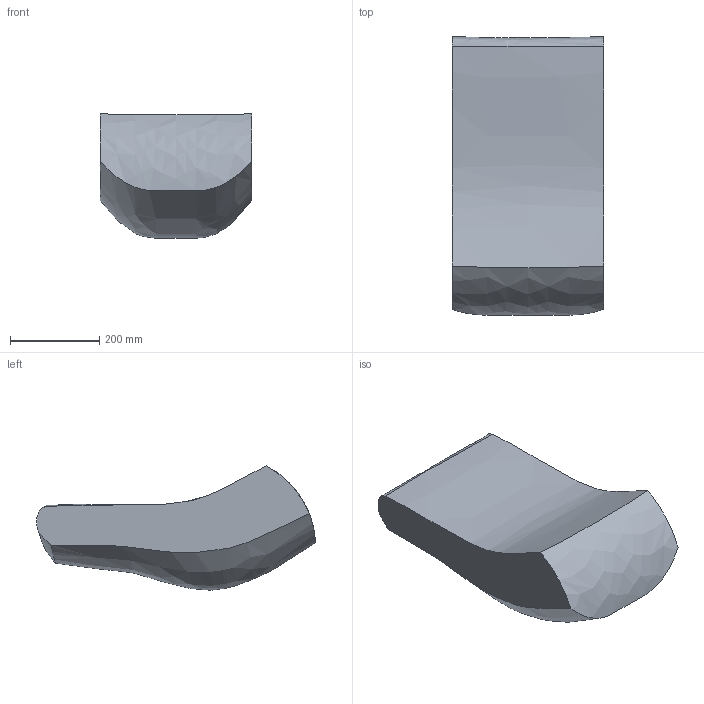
import math
import cadquery as cq


WIDTH = 340.0
FLAT_HALF_WIDTH = 50.0
SECTION_COUNT = 15

FRONT_TIP = (0.0, 106.5)
FRONT_SIDE_CORNER = (14.1, 171.8)
FRONT_TOP_CORNER = (110.5, 278.71)
FRONT_TOP_DIP = 1.8

BACK_TOP_MIDDLE = (603.0, 190.0)
BACK_TOP_SIDE = (603.0, 187.3)
BACK_LOW_MIDDLE = (583.3, 60.6)
BACK_LOW_SIDE = (592.4, 101.0)

TOP_MIDDLE = [(195, 232.6), (248, 209.7), (291, 198.5), (337, 193), (450, 191), BACK_TOP_MIDDLE]
TOP_SIDE = [(195, 234), (248, 209.7), (291, 198), (337, 192.8), (450, 190.5), BACK_TOP_SIDE]

BACK_MIDDLE = [BACK_TOP_MIDDLE, (616, 180), (623, 155.6), (618, 123), (609.5, 99), BACK_LOW_MIDDLE]
BACK_SIDE = [BACK_TOP_SIDE, (617.6, 178.9), (625.3, 155.6), (617.6, 125.3), (609, 116), BACK_LOW_SIDE]

BOTTOM_MIDDLE = [BACK_LOW_MIDDLE, (486, 47.5), (405.4, 37.8), (344.8, 19.6), (284, 4.6),
                 (239.7, 0), (203, 4), (102.3, 41.8)]
BOTTOM_SIDE = [BACK_LOW_SIDE, (486, 100), (425.6, 98), (365, 90), (292, 83.5),
               (243.7, 86.5), (193, 94.2), (112, 124.5)]


def circle_through(p, q, r):
    """Centre and radius of the circle through three (Y, Z) points."""
    a1, b1 = q[0] - p[0], q[1] - p[1]
    a2, b2 = r[0] - p[0], r[1] - p[1]
    c1 = (a1 * a1 + b1 * b1) / 2
    c2 = (a2 * a2 + b2 * b2) / 2
    det = a1 * b2 - a2 * b1
    dy = (c1 * b2 - c2 * b1) / det
    dz = (a1 * c2 - a2 * c1) / det
    return (p[0] + dy, p[1] + dz), math.hypot(dy, dz)


FRONT_CENTRE, FRONT_RADIUS = circle_through(FRONT_TIP, FRONT_SIDE_CORNER, FRONT_TOP_CORNER)


def front_point(z):
    """Point of the front arc at height z."""
    rise = z - FRONT_CENTRE[1]
    return (FRONT_CENTRE[0] - math.sqrt(FRONT_RADIUS ** 2 - rise ** 2), z)


def mix(a, b, share):
    """Value the given share of the way from a to b."""
    return a + (b - a) * share


def mix_points(middle, side, share):
    """Points of one curve blended between its middle and side shapes."""
    return [(mix(m[0], s[0], share), mix(m[1], s[1], share)) for m, s in zip(middle, side)]


def outline(x, share):
    """Closed outline at x; share is 0 for the middle shape and 1 for the side shape."""
    z_top = FRONT_TOP_CORNER[1] - FRONT_TOP_DIP * (1 - share)
    z_low = mix(FRONT_TIP[1], FRONT_SIDE_CORNER[1], share)
    front_top = front_point(z_top)
    front_mid = front_point((z_top + z_low) / 2)
    front_low = front_point(z_low)
    top = [front_top] + mix_points(TOP_MIDDLE, TOP_SIDE, share)
    back = mix_points(BACK_MIDDLE, BACK_SIDE, share)
    bottom = mix_points(BOTTOM_MIDDLE, BOTTOM_SIDE, share) + [front_low]

    def place(points):
        return [cq.Vector(x, y, z) for y, z in points]

    return cq.Wire.assembleEdges([
        cq.Edge.makeSpline(place(top)),
        cq.Edge.makeSpline(place(back)),
        cq.Edge.makeSpline(place(bottom)),
        cq.Edge.makeThreePointArc(*place([front_low, front_mid, front_top])),
    ])


def make_block():
    """Single loft from side to side; the shape changes with the square of the distance."""
    sections = []
    for step in range(SECTION_COUNT):
        x = mix(-WIDTH / 2, WIDTH / 2, step / (SECTION_COUNT - 1))
        beyond_flat = max(0, abs(x) - FLAT_HALF_WIDTH)
        reach = beyond_flat / (WIDTH / 2 - FLAT_HALF_WIDTH)
        sections.append(outline(x, reach ** 2))
    return cq.Solid.makeLoft(sections)


result = cq.Workplane(obj=make_block())